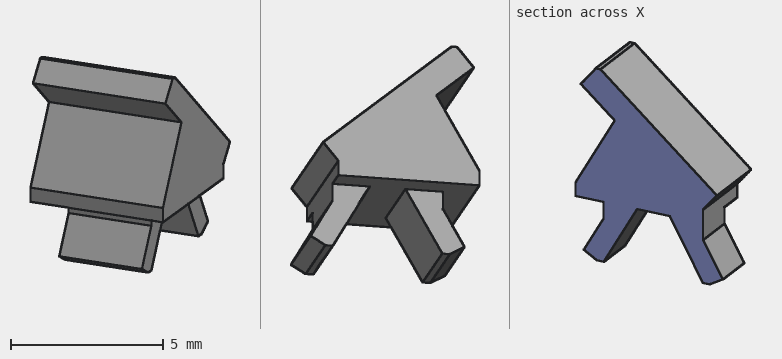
import cadquery as cq
import math

block_width = 4.8
leg_width = 3.0

front_y = -2.9
back_y = 1.86
side_height = 0.5
top_z = 4.76
roof_angle = 40.0
front_slope_angle = 60.0
front_slope_height = 2.52
lip_length = 1.65
lip_flat = 0.18
eave_length = 0.8

leg_outer_y = 1.86
leg_inner_y = 0.6
leg_straight = 0.59
leg_height = 2.15
leg_angle = 60.0
leg_tip_length = 1.47
tip_angle = 30.0


def step(point, length, angle):
    """Point reached by going a length from a point, at an angle in degrees from +Y toward +Z."""
    turn = math.radians(angle)
    return (point[0] + length * math.cos(turn), point[1] + length * math.sin(turn))


def step_to_height(point, z, angle):
    """Point reached by going from a point, at an angle in degrees from +Y, to a given height."""
    return step(point, (z - point[1]) / math.sin(math.radians(angle)), angle)


def extrude_profile(points, width):
    """Prism with the given YZ outline, centred on X = 0."""
    return cq.Workplane("YZ").polyline(points).close().extrude(width / 2, both=True)


def make_block():
    front_edge = (front_y, side_height)
    inner_corner = step_to_height(front_edge, side_height + front_slope_height, front_slope_angle)
    lip_corner = step(inner_corner, lip_length, 180 - roof_angle)
    lip_top_front = step_to_height(lip_corner, top_z, 90 - roof_angle)
    lip_top_back = (lip_top_front[0] + lip_flat, top_z)
    back_edge = (back_y, side_height)
    eave = step(back_edge, eave_length, 90 - roof_angle)
    outline = [
        (front_y, 0),
        front_edge,
        inner_corner,
        lip_corner,
        lip_top_front,
        lip_top_back,
        eave,
        back_edge,
        (back_y, 0),
    ]
    return extrude_profile(outline, block_width)


def make_leg(side):
    """Splayed leg; side is +1 for the back leg and -1 for the front leg."""
    inner_top = (leg_inner_y, 0)
    knee = (leg_outer_y, -leg_straight)
    tip = step(knee, leg_tip_length, -leg_angle)
    outline = [
        inner_top,
        (leg_outer_y, 0),
        knee,
        tip,
        step_to_height(tip, -leg_height, 180 + tip_angle),
        step_to_height(inner_top, -leg_height, -leg_angle),
    ]
    return extrude_profile([(side * y, z) for y, z in outline], leg_width)


result = make_block()
for leg_side in (-1, 1):
    result = result.union(make_leg(leg_side))